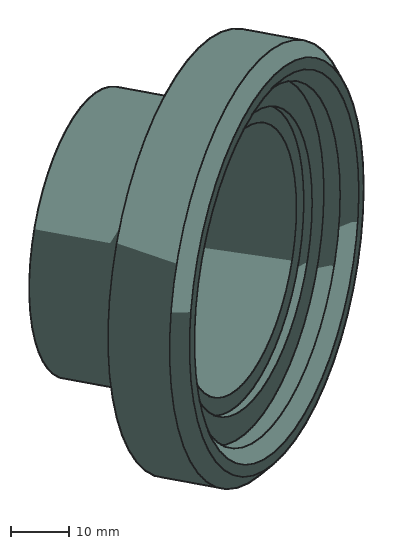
import cadquery as cq
import math

total_length = 35.0
flange_diameter = 78.0
tube_diameter = 50.8
bore_diameter = 47.8
recess_diameter = 63.8
recess_depth = 7.0
recess_chamfer = 2.4
seat_diameter = 54.0
seat_depth = 1.55
rim_length = 14.1
chamfer_size = 2.6
cone_angle = math.radians(10)
neck_radius = 5.0

flange_radius = flange_diameter / 2
tube_radius = tube_diameter / 2
bore_radius = bore_diameter / 2
recess_radius = recess_diameter / 2
seat_radius = seat_diameter / 2
bore_end_x = total_length - recess_depth
seat_end_x = bore_end_x + seat_depth
rim_start = total_length - rim_length

cone_tangent_radius = tube_radius + neck_radius * (1 - math.sin(cone_angle))
cone_tangent_x = rim_start - (flange_radius - cone_tangent_radius) * math.tan(cone_angle)
tube_tangent_x = cone_tangent_x - neck_radius * math.cos(cone_angle)

half_sweep = (math.pi / 2 - cone_angle) / 2
neck_mid_x = tube_tangent_x + neck_radius * math.sin(half_sweep)
neck_mid_radius = tube_radius + neck_radius * (1 - math.cos(half_sweep))

half_section = (
    cq.Workplane("XY")
    .moveTo(0, bore_radius)
    .lineTo(0, tube_radius)
    .lineTo(tube_tangent_x, tube_radius)
    .threePointArc((neck_mid_x, neck_mid_radius), (cone_tangent_x, cone_tangent_radius))
    .lineTo(rim_start, flange_radius)
    .lineTo(total_length - chamfer_size, flange_radius)
    .lineTo(total_length, flange_radius - chamfer_size)
    .lineTo(total_length, recess_radius + recess_chamfer)
    .lineTo(total_length - recess_chamfer, recess_radius)
    .lineTo(seat_end_x, recess_radius)
    .lineTo(seat_end_x, seat_radius)
    .lineTo(bore_end_x, seat_radius)
    .lineTo(bore_end_x, bore_radius)
    .close()
)

result = half_section.revolve(360, (0, 0, 0), (1, 0, 0))